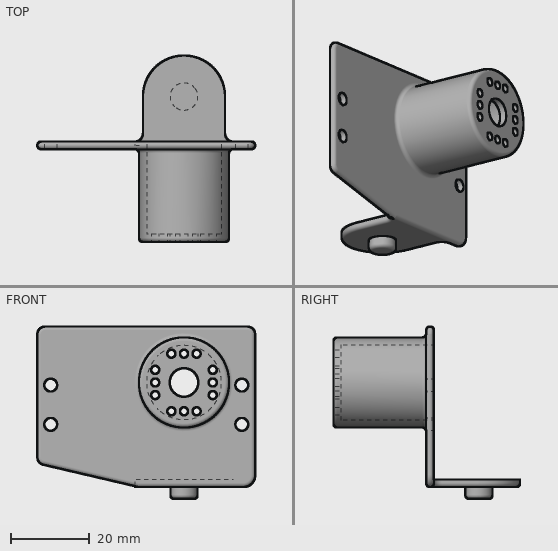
import cadquery as cq
import math

width = 55.5
height = 40.9
sheet = 2.0
edge_radius = sheet / 2
corner_radius = 2.0
lower_right_radius = 3.0
slope_start_x = 25.85
slope_end_z = 6.05

mount_diameter = 3.2
mount_inset = 3.45
mount_heights = (16.0, 26.0)

axis_x = 37.35
axis_z = 26.65
cup_diameter = 23.0
cup_length = 23.6
cup_wall = 2.0
bore_diameter = cup_diameter - 2 * cup_wall
center_hole_diameter = 7.2
small_hole_diameter = 2.0
small_hole_offset = 7.3
small_hole_pitch = 3.2

tongue_length = 21.9
tongue_radius = 10.5
tongue_center_y = sheet + tongue_length - tongue_radius
flare_radius = 2.0
pin_diameter = 7.0
pin_length = 3.0


def cylinder_along_y(diameter, x, z, y_start, y_end):
    """Cylinder parallel to Y between two Y positions."""
    plane = cq.Plane(origin=(x, y_start, z), xDir=(1, 0, 0), normal=(0, 1, 0))
    return cq.Workplane(plane).circle(diameter / 2).extrude(y_end - y_start)


def make_plate():
    """Flat core with a half-round rim swept along its outline."""
    slope_angle = math.atan2(slope_end_z, slope_start_x)
    left, right = edge_radius, width - edge_radius
    bottom, top = edge_radius, height - edge_radius
    core_slope_x = slope_start_x + edge_radius * math.tan(slope_angle / 2)
    core_slope_z = bottom + (core_slope_x - left) * math.tan(slope_angle)
    outline = [(left, core_slope_z), (core_slope_x, bottom), (right, bottom), (right, top), (left, top)]
    core = cq.Workplane("XZ").polyline(outline).close().extrude(-sheet)
    small = corner_radius - edge_radius
    for x, z, radius in (
        (left, core_slope_z, small),
        (left, top, small),
        (right, top, small),
        (right, bottom, lower_right_radius - edge_radius),
    ):
        core = core.edges(cq.NearestToPointSelector((x, sheet / 2, z))).fillet(radius)
    path = core.faces("<Y").wires().translate((0, sheet / 2, 0))
    start_plane = cq.Plane(
        origin=path.val().startPoint(), xDir=(0, 1, 0), normal=path.val().tangentAt(0)
    )
    rim = (
        cq.Workplane(start_plane)
        .moveTo(-edge_radius, 0)
        .threePointArc((0, -edge_radius), (edge_radius, 0))
        .close()
        .sweep(path, transition="right")
    )
    return core.union(rim)


def make_tongue():
    left = axis_x - tongue_radius
    right = axis_x + tongue_radius
    diagonal = flare_radius * (1 - math.sqrt(0.5))
    flare_end_y = sheet + flare_radius
    body = (
        cq.Workplane("XY")
        .moveTo(left - flare_radius, sheet)
        .threePointArc((left - diagonal, sheet + diagonal), (left, flare_end_y))
        .lineTo(left, tongue_center_y)
        .threePointArc((axis_x, tongue_center_y + tongue_radius), (right, tongue_center_y))
        .lineTo(right, flare_end_y)
        .threePointArc((right + diagonal, sheet + diagonal), (right + flare_radius, sheet))
        .lineTo(right + flare_radius, sheet / 2)
        .lineTo(left - flare_radius, sheet / 2)
        .close()
        .extrude(sheet)
    )
    margin = 0.05
    free_edges = cq.selectors.BoxSelector(
        (0, sheet + margin, -margin), (width, sheet + tongue_length, margin)
    )
    return body.edges(free_edges).fillet(edge_radius)


def make_pin():
    pin = (
        cq.Workplane("XY", origin=(axis_x, tongue_center_y, sheet / 2))
        .circle(pin_diameter / 2)
        .extrude(-pin_length - sheet / 2)
    )
    return pin.faces("<Z").edges().fillet(edge_radius)


def make_cup():
    """Solid cup body with a rounded front rim and a concave flare at its base."""
    radius = cup_diameter / 2
    mid = edge_radius * (1 - math.sqrt(0.5))
    profile = (
        cq.Workplane("XY")
        .moveTo(0, sheet / 2)
        .lineTo(radius + edge_radius, sheet / 2)
        .lineTo(radius + edge_radius, 0)
        .threePointArc((radius + mid, -mid), (radius, -edge_radius))
        .lineTo(radius, edge_radius - cup_length)
        .threePointArc((radius - mid, mid - cup_length), (radius - edge_radius, -cup_length))
        .lineTo(0, -cup_length)
        .close()
    )
    return profile.revolve(360, (0, 0, 0), (0, 1, 0)).translate((axis_x, 0, axis_z))


def cut_cup_holes(body):
    """Bore the cup from the back and pierce its front wall."""
    body = body.cut(cylinder_along_y(bore_diameter, axis_x, axis_z, cup_wall - cup_length, sheet))
    centers = [(0, 0, center_hole_diameter)]
    for side in (-small_hole_offset, small_hole_offset):
        for step in (-small_hole_pitch, 0, small_hole_pitch):
            centers.append((side, step, small_hole_diameter))
            centers.append((step, side, small_hole_diameter))
    for dx, dz, diameter in centers:
        body = body.cut(cylinder_along_y(diameter, axis_x + dx, axis_z + dz, -cup_length, 0))
    return body


def cut_mount_holes(body):
    for x in (mount_inset, width - mount_inset):
        for z in mount_heights:
            body = body.cut(cylinder_along_y(mount_diameter, x, z, 0, sheet))
    return body


solid = make_plate().union(make_tongue()).union(make_pin()).union(make_cup())
result = cut_mount_holes(cut_cup_holes(solid))